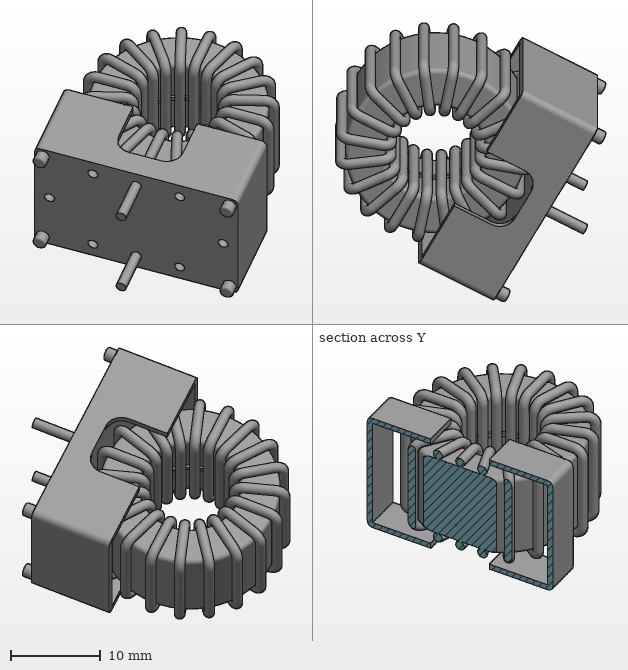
import cadquery as cq
import math

overall_length = 30.23

base_width = 24.12
base_height = 15.25
base_depth = 9.5
edge_radius = 0.75
wall = 0.75
floor_thickness = 2.85
slot_width = 7.6
slot_corner_radius = 1.93

core_outer_radius = 10.07
core_inner_radius = 5.62
core_height = 10.4
core_edge_radius = 0.5
band_inner_radius = 5.32
band_height = 0.48

wire_diameter = 1.18
wire_bite = 0.015
turn_count = 20

pin_length = 5.05
hole_row_offset = 5.15
side_hole_offset = 10.28
foot_diameter = 1.55
foot_length = 1.27
foot_edge_radius = 0.25
foot_x = 11.05
foot_z = 6.6

wire_offset = wire_diameter / 2 - wire_bite
wire_height = core_height / 2 + wire_offset
winding_radius = core_outer_radius + wire_offset + wire_diameter / 2
core_center_y = overall_length - pin_length - winding_radius


def cylinder_along_y(x, z, diameter, start, end):
    """Round bar parallel to Y, from Y = start to Y = end."""
    direction = cq.Vector(0, 1, 0)
    bar = cq.Solid.makeCylinder(diameter / 2, end - start, cq.Vector(x, start, z), direction)
    return cq.Workplane(obj=bar)


def make_base():
    block = (
        cq.Workplane("XY")
        .box(base_width, base_depth, base_height, centered=(True, False, True))
        .edges("|Y")
        .fillet(edge_radius)
    )
    inner_depth = base_depth - floor_thickness
    cavity = (
        cq.Workplane("XY")
        .box(base_width - 2 * wall, inner_depth, base_height - 2 * wall, centered=(True, False, True))
        .translate((0, floor_thickness, 0))
    )
    slot = (
        cq.Workplane("XY")
        .box(slot_width, inner_depth, base_height, centered=(True, False, True))
        .translate((0, floor_thickness, 0))
        .edges("|Z and <Y")
        .fillet(slot_corner_radius)
    )
    return block.cut(cavity).cut(slot)


def wire_holes():
    """Through holes in the floor: two rows level with the wire, and one hole at each side."""
    places = [(side * hole_row_offset, level * wire_height) for side in (-1, 1) for level in (-1, 1)]
    places += [(side * side_hole_offset, 0) for side in (-1, 1)]
    holes = cq.Workplane("XY")
    for x, z in places:
        holes = holes.add(cylinder_along_y(x, z, wire_diameter, 0, floor_thickness))
    return holes.combine()


def make_foot(x, z):
    return cylinder_along_y(x, z, foot_diameter, -foot_length, 0).faces("<Y").fillet(foot_edge_radius)


def ring(outer_radius, inner_radius, height):
    """Flat ring around Z, centred on the origin."""
    return (
        cq.Workplane("XY")
        .circle(outer_radius)
        .circle(inner_radius)
        .extrude(height / 2, both=True)
    )


def make_turn():
    """One closed turn of wire around the core section, on the +X side of the core."""
    inner = core_inner_radius - wire_offset
    outer = core_outer_radius + wire_offset
    bend = core_edge_radius + wire_offset
    diagonal = bend * (1 - math.sqrt(0.5))
    top = wire_height
    path = (
        cq.Workplane("XZ")
        .moveTo(outer, 0)
        .lineTo(outer, top - bend)
        .threePointArc((outer - diagonal, top - diagonal), (outer - bend, top))
        .lineTo(inner + bend, top)
        .threePointArc((inner + diagonal, top - diagonal), (inner, top - bend))
        .lineTo(inner, 0)
    )
    upper_half = cq.Workplane("XY").center(outer, 0).circle(wire_diameter / 2).sweep(path)
    return upper_half.union(upper_half.mirror("XY"))


def make_core():
    core = ring(core_outer_radius, core_inner_radius, core_height).edges().fillet(core_edge_radius)
    middle_radius = (core_outer_radius + core_inner_radius) / 2
    return core.union(ring(middle_radius, band_inner_radius, band_height))


def make_toroid():
    turn = make_turn()
    toroid = make_core()
    for index in range(turn_count):
        toroid = toroid.union(turn.rotate((0, 0, 0), (0, 0, 1), index * 360 / turn_count))
    return toroid.translate((0, core_center_y, 0))


def add_feet(body):
    for side in (-1, 1):
        for level in (-1, 1):
            body = body.union(make_foot(side * foot_x, level * foot_z))
    return body


def add_pins(body):
    """Two lead pins level with the top and bottom runs of the wire, passing through the floor."""
    for level in (-1, 1):
        pin = cylinder_along_y(0, level * wire_height, wire_diameter, -pin_length, floor_thickness)
        body = body.union(pin)
    return body


base = make_base().cut(wire_holes())
base = add_pins(add_feet(base))
result = base.union(make_toroid())